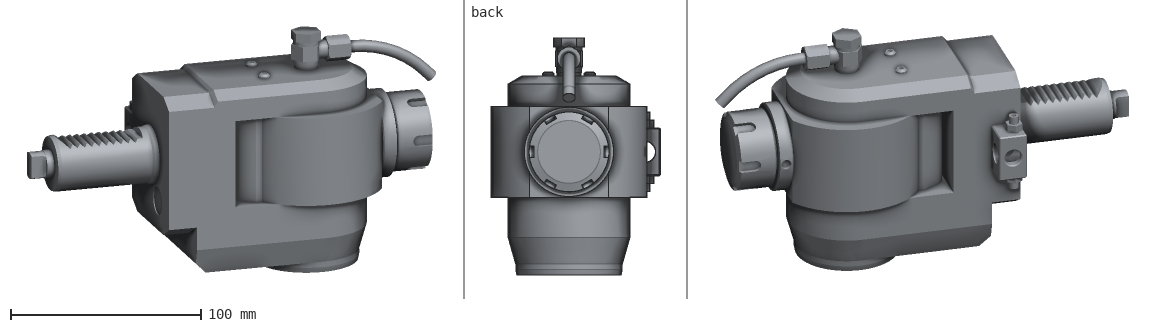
import cadquery as cq
import math


body_half_width = 32.0
head_axis_y = 86.0
body_top_z = 40.0
body_floor_z = -59.0
edge_bevel_angle = 30.0
bevel_slope = math.tan(math.radians(edge_bevel_angle))

step_half_height = 38.0
step_bevel_width = 9.5
top_step_y = 25.0
bottom_step_y = 15.5
top_bevel_width = 7.5

taper_start_z = -45.0
taper_inset = 4.0
heel_chamfer = 6.0

window_half_height = 24.0
window_back_y = 36.6
disc_radius = 41.0
disc_front_y = 121.4

bottom_cap_z = -64.9
fitting_top_z = 60.0
hose_tip_y = 157.67

far = 200.0
hexagon_ratio = math.cos(math.radians(30))


def cylinder_y(radius, y_start, y_end, x=0.0, z=0.0):
    """Cylinder along Y between two Y positions."""
    plane = cq.Workplane("XZ", origin=(x, y_start, z))
    return plane.circle(radius).extrude(y_start - y_end)


def cylinder_z(radius, z_start, z_end, x=0.0, y=0.0):
    """Cylinder along Z between two heights."""
    plane = cq.Workplane("XY", origin=(x, y, z_start))
    return plane.circle(radius).extrude(z_end - z_start)


def hexagon_z(across_flats, z_start, z_end, x=0.0, y=0.0, turn=0.0):
    """Hexagonal prism along Z, with corners on the X axis before turning."""
    corner_diameter = across_flats / hexagon_ratio
    plane = cq.Workplane("XY", origin=(x, y, z_start)).transformed(rotate=(0, 0, turn))
    return plane.polygon(6, corner_diameter).extrude(z_end - z_start)


def box_between(x_range, y_range, z_range):
    """Box given by its limits along each axis."""
    size = [limits[1] - limits[0] for limits in (x_range, y_range, z_range)]
    corner = (x_range[0], y_range[0], z_range[0])
    return cq.Workplane("XY").box(*size, centered=False).translate(corner)


def revolve_y(profile):
    """Solid turned about the Y axis from (radius, y) points, closed along the axis."""
    on_axis = [(0, profile[0][1])] + profile + [(0, profile[-1][1])]
    return cq.Workplane("XY").polyline(on_axis).close().revolve(360, (0, 0, 0), (0, 1, 0))


def head_outline(inset, back_y, z):
    """Plan outline with a half-round front, moved inwards by inset."""
    half = body_half_width - inset
    return (
        cq.Workplane("XY", origin=(0, 0, z))
        .moveTo(-half, back_y)
        .lineTo(-half, head_axis_y)
        .threePointArc((0, head_axis_y + half), (half, head_axis_y))
        .lineTo(half, back_y)
        .close()
    )


def tapered_head(z_start, z_end, inset):
    """Head stretch that narrows evenly by inset from z_start to z_end."""
    height = abs(z_end - z_start)
    draft = math.degrees(math.atan(inset / height))
    tall = head_outline(0, -2 * inset, z_start).extrude(z_end - z_start, taper=draft)
    behind = box_between((-far, far), (-far, 0), (-far, far))
    return tall.cut(behind)


def make_housing():
    bevel_z = body_top_z - top_bevel_width * bevel_slope
    housing = head_outline(0, 0, taper_start_z).extrude(bevel_z - taper_start_z)
    housing = housing.union(tapered_head(bevel_z, body_top_z, top_bevel_width))
    housing = housing.union(tapered_head(taper_start_z, body_floor_z, taper_inset))

    ramp = body_top_z - step_half_height
    front_y = head_axis_y + body_half_width
    silhouette = (
        cq.Workplane("YZ", origin=(-body_half_width, 0, 0))
        .polyline([
            (0, -step_half_height),
            (0, step_half_height),
            (top_step_y, step_half_height),
            (top_step_y + ramp, body_top_z),
            (front_y, body_top_z),
            (front_y, body_floor_z),
            (bottom_step_y + heel_chamfer, body_floor_z),
            (bottom_step_y, body_floor_z + heel_chamfer),
            (bottom_step_y, -step_half_height),
        ])
        .close()
        .extrude(2 * body_half_width)
    )
    housing = housing.intersect(silhouette)
    for cutter in make_step_bevels():
        housing = housing.cut(cutter)
    return housing


def bevel_corner(side, edge_z, width, y):
    """Triangle across a long body edge at position y, ready to extrude or loft."""
    edge_x = side * body_half_width
    drop = math.copysign(width * bevel_slope, edge_z)
    return (
        cq.Workplane("XZ", origin=(0, y, 0))
        .polyline([
            (edge_x, edge_z),
            (edge_x - side * width, edge_z),
            (edge_x, edge_z - drop),
        ])
        .close()
    )


def make_step_bevels():
    """Wedges that bevel the four long edges of the flange stretch."""
    ramp = body_top_z - step_half_height
    wedges = []
    for side in (-1, 1):
        upper = bevel_corner(side, step_half_height, step_bevel_width, 0)
        lower = bevel_corner(side, -step_half_height, step_bevel_width, 0)
        wedges.append(upper.extrude(-top_step_y))
        wedges.append(lower.extrude(-bottom_step_y))

        flange_end = bevel_corner(side, step_half_height, step_bevel_width, top_step_y)
        head_end = bevel_corner(side, body_top_z, top_bevel_width, top_step_y + ramp)
        sections = [flange_end.wires().val(), head_end.wires().val()]
        wedges.append(cq.Workplane(cq.Solid.makeLoft(sections, True)))
    return wedges


def cut_window(housing):
    """Slot through the full width in which the disc sits."""
    window = box_between(
        (-body_half_width, body_half_width),
        (window_back_y, head_axis_y),
        (-window_half_height, window_half_height),
    )
    return housing.cut(window)


def make_disc():
    """Large disc, flat at the front, with a tapered rounded tail at the back."""
    tail_start_y = 53.6
    tail_taper_y = 50.2
    tail_round_y = 42.1
    tail_end_y = 37.8
    tail_angle = math.radians(30)
    round_radius = (tail_round_y - tail_end_y) / (1 - math.sin(tail_angle))
    tail_half = math.sqrt(disc_radius**2 - (head_axis_y - tail_start_y) ** 2)
    round_x = tail_half - (tail_taper_y - tail_round_y) * math.tan(tail_angle)
    end_x = round_x - round_radius * math.cos(tail_angle)
    mid_angle = (math.radians(90) - tail_angle) / 2
    mid_x = end_x + round_radius * math.sin(mid_angle)
    mid_y = tail_end_y + round_radius * (1 - math.cos(mid_angle))

    height = 2 * window_half_height
    disc = cylinder_z(disc_radius, -window_half_height, window_half_height, y=head_axis_y)
    keep = box_between((-far, far), (tail_start_y, disc_front_y), (-far, far))
    tail = (
        cq.Workplane("XY", origin=(0, 0, -window_half_height))
        .moveTo(-tail_half, head_axis_y)
        .lineTo(-tail_half, tail_taper_y)
        .lineTo(-round_x, tail_round_y)
        .threePointArc((-mid_x, mid_y), (-end_x, tail_end_y))
        .lineTo(end_x, tail_end_y)
        .threePointArc((mid_x, mid_y), (round_x, tail_round_y))
        .lineTo(tail_half, tail_taper_y)
        .lineTo(tail_half, head_axis_y)
        .close()
        .extrude(height)
    )
    return disc.intersect(keep).union(tail)


def make_bottom_cap():
    rim_z = -62.0
    radius = 28.0
    inset = 0.6
    cap = cylinder_z(radius, body_floor_z, rim_z, y=head_axis_y)
    lip = (
        cq.Workplane("XY", origin=(0, head_axis_y, bottom_cap_z))
        .circle(radius - inset)
        .workplane(offset=rim_z - bottom_cap_z)
        .circle(radius)
        .loft()
    )
    return cap.union(lip)


shank_radius = 15.0
shank_end_y = -55.5


def make_shank():
    collar_radius = 16.0
    collar_cone_y = -2.3
    collar_cone_radius = 15.5
    collar_end_y = -3.3
    end_chamfer_y = -53.6
    end_radius = 14.5
    shank = revolve_y([
        (collar_radius, 0),
        (collar_cone_radius, collar_cone_y),
        (shank_radius, collar_end_y),
        (shank_radius, end_chamfer_y),
        (end_radius, shank_end_y),
    ])
    return shank.cut(make_rack_cutter()).union(make_drive_tang())


def make_rack_cutter():
    """Cutter for the toothed flat on top of the shank."""
    flat_z = 12.0
    root_z = 10.4
    entry_y = -6.4
    flat_start_y = -7.2
    first_root_y = -11.7
    runout_y = -53.2
    pitch = 4.0
    groove_count = 10
    half_groove = flat_z - root_z

    points = [(entry_y, shank_radius), (flat_start_y, flat_z)]
    for index in range(groove_count):
        root_y = first_root_y - index * pitch
        points.append((root_y + half_groove, flat_z))
        points.append((root_y, root_z))
        points.append((root_y - half_groove, flat_z))
    points.append((runout_y, shank_radius))
    plane = cq.Workplane("YZ", origin=(-shank_radius, 0, 0))
    return plane.polyline(points).close().extrude(2 * shank_radius)


def make_drive_tang():
    neck_radius = 7.5
    neck_end_y = -59.3
    tang_radius = 7.2
    tang_half_width = 4.1
    tang_end_y = -67.0
    neck = cylinder_y(neck_radius, shank_end_y, neck_end_y)
    tang = cylinder_y(tang_radius, neck_end_y, tang_end_y)
    root_half_width = 4.9
    flat_start_y = -60.8
    flats = (
        cq.Workplane("XY", origin=(0, 0, -tang_radius))
        .polyline([
            (-root_half_width, neck_end_y),
            (-tang_half_width, flat_start_y),
            (-tang_half_width, tang_end_y),
            (tang_half_width, tang_end_y),
            (tang_half_width, flat_start_y),
            (root_half_width, neck_end_y),
        ])
        .close()
        .extrude(2 * tang_radius)
    )
    return neck.union(tang.intersect(flats))


def make_locating_recess():
    """Shallow round recess in the seating face, below the shank."""
    radius = 7.6
    depth = 0.5
    center_x = 12.5
    center_z = -22.0
    return cylinder_y(radius, 0, depth, center_x, center_z)


def make_collar():
    radius = 23.5
    end_y = 128.8
    back_chamfer = 0.7
    hole_radius = 2.7
    hole_depth = 3.5
    point_depth = 1.6
    hole_y = 125.5
    collar = cylinder_y(radius, disc_front_y, end_y).faces("<Y").chamfer(back_chamfer)
    hole = (
        cq.Workplane("YZ", origin=(-radius, hole_y, 0))
        .circle(hole_radius)
        .extrude(hole_depth)
    )
    point = cq.Solid.makeCone(
        hole_radius, 0, point_depth,
        pnt=cq.Vector(hole_depth - radius, hole_y, 0),
        dir=cq.Vector(1, 0, 0),
    )
    return collar.cut(hole).cut(cq.Workplane(point))


def make_collet_nut():
    groove_radius = 17.8
    groove_start_y = 128.5
    radius = 21.0
    back_y = 130.1
    shoulder_y = 149.3
    front_y = 150.6
    front_radius = 16.5
    back_chamfer = 0.6
    nut = revolve_y([
        (groove_radius, groove_start_y),
        (groove_radius, back_y),
        (radius - back_chamfer, back_y),
        (radius, back_y + back_chamfer),
        (radius, shoulder_y),
        (front_radius, front_y),
    ])

    slot_count = 6
    slot_half_width = 3.0
    slot_floor_radius = 18.5
    slot_end_y = 138.6
    slot = (
        cq.Workplane("YZ", origin=(-radius, 0, 0))
        .moveTo(front_y, -slot_half_width)
        .lineTo(slot_end_y + slot_half_width, -slot_half_width)
        .threePointArc((slot_end_y, 0), (slot_end_y + slot_half_width, slot_half_width))
        .lineTo(front_y, slot_half_width)
        .close()
        .extrude(radius - slot_floor_radius)
    )
    for index in range(slot_count):
        nut = nut.cut(slot.rotate((0, 0, 0), (0, 1, 0), index * 360 / slot_count))
    return nut


hose_z = 49.0


def make_banjo_fitting():
    across_flats = 14.0
    base_radius = 6.7
    washer_radius = 6.4
    washer_top_z = 41.7
    swivel_across_flats = 14.3
    ring_radius = 6.9
    hexagon_start_z = 44.9
    hexagon_end_z = 53.0
    head_start_z = 55.2
    washer = cylinder_z(washer_radius, body_top_z, washer_top_z, y=head_axis_y)
    base = cylinder_z(base_radius, washer_top_z, hexagon_start_z, y=head_axis_y)
    swivel = hexagon_z(swivel_across_flats, hexagon_start_z, hexagon_end_z, y=head_axis_y, turn=30)
    ring = cylinder_z(ring_radius, hexagon_end_z, head_start_z, y=head_axis_y)
    head = hexagon_z(across_flats, head_start_z, fitting_top_z, y=head_axis_y)
    return washer.union(base).union(swivel).union(ring).union(head)


def make_hose_nut():
    neck_radius = 5.0
    start_y = 96.7
    end_y = 109.2
    across_flats = 12.2
    corner_radius = across_flats / 2 / hexagon_ratio
    edge_chamfer = 0.8
    neck = cylinder_y(neck_radius, head_axis_y, start_y, z=hose_z)
    nut = (
        cq.Workplane("XZ", origin=(0, start_y, hose_z))
        .transformed(rotate=(0, 0, 30))
        .polygon(6, 2 * corner_radius)
        .extrude(start_y - end_y)
    )
    rounding = cylinder_y(corner_radius, start_y, end_y, z=hose_z).edges().chamfer(edge_chamfer)
    return neck.union(nut.intersect(rounding))


def make_hose():
    """Coolant hose: straight, then an arc down to 45 degrees, then a straight tip."""
    radius = 3.25
    nut_end_y = 109.2
    bend_start_y = 111.3
    tip_length = 5.5
    bend_angle = math.radians(45)
    diagonal = math.sin(bend_angle)
    tip_y = hose_tip_y - radius * diagonal
    bend_end_y = tip_y - tip_length * diagonal
    bend_radius = (bend_end_y - bend_start_y) / diagonal
    bend_end_z = hose_z - bend_radius * (1 - diagonal)
    middle = bend_angle / 2
    bend_middle = (
        bend_start_y + bend_radius * math.sin(middle),
        hose_z - bend_radius * (1 - math.cos(middle)),
    )
    path = (
        cq.Workplane("YZ")
        .moveTo(nut_end_y, hose_z)
        .lineTo(bend_start_y, hose_z)
        .threePointArc(bend_middle, (bend_end_y, bend_end_z))
        .lineTo(tip_y, bend_end_z - tip_length * diagonal)
    )
    return cq.Workplane("XZ", origin=(0, nut_end_y, hose_z)).circle(radius).sweep(path)


def make_top_screws():
    radius = 3.1
    height = 2.0
    edge_chamfer = 1.0
    socket_across_flats = 2.6
    socket_depth = 1.2
    spacing = 21.8
    row_y = 59.3
    top_z = body_top_z + height
    screws = []
    for x in (-spacing / 2, spacing / 2):
        screw = cylinder_z(radius, body_top_z, top_z, x, row_y).faces(">Z").chamfer(edge_chamfer)
        socket = hexagon_z(socket_across_flats, top_z - socket_depth, top_z, x, row_y)
        screws.append(screw.cut(socket))
    return screws


def make_coolant_block():
    outer_x = -48.0
    y_range = (0.9, 15.9)
    half_height = 12.6
    bore_x = -40.0
    bore_radius = 5.5
    port_y = 8.4
    port_radius = 4.4
    port_mouth_radius = 5.0
    port_end_x = -34.0
    passage_radius = 1.6
    edge_chamfer = 0.6
    block = box_between((outer_x, -body_half_width), y_range, (-half_height, half_height))
    block = block.edges("|X or <X").chamfer(edge_chamfer)
    block = block.cut(cylinder_y(bore_radius, y_range[0], y_range[1], x=bore_x))

    mouth_depth = port_mouth_radius - port_radius
    port_plane = cq.Workplane("YZ", origin=(outer_x, port_y, 0))
    mouth = cq.Solid.makeCone(
        port_mouth_radius, port_radius, mouth_depth,
        pnt=cq.Vector(outer_x, port_y, 0),
        dir=cq.Vector(1, 0, 0),
    )
    block = block.cut(cq.Workplane(mouth))
    block = block.cut(port_plane.circle(port_radius).extrude(port_end_x - outer_x))
    block = block.cut(port_plane.circle(passage_radius).extrude(-body_half_width - outer_x))

    stud_y = 5.9
    stud_radius = 2.6
    stud_end_z = 20.9
    nut_across_flats = 8.0
    nut_end_z = 16.7
    socket_across_flats = 2.5
    socket_depth = 2.0
    for side in (-1, 1):
        start_z = side * half_height
        end_z = side * stud_end_z
        nut = hexagon_z(nut_across_flats, start_z, side * nut_end_z, bore_x, stud_y)
        stud = cylinder_z(stud_radius, start_z, end_z, bore_x, stud_y)
        socket = hexagon_z(socket_across_flats, end_z - side * socket_depth, end_z, bore_x, stud_y)
        block = block.union(nut).union(stud.cut(socket))
    return block


part = cut_window(make_housing())
part = part.cut(make_locating_recess())
components = [
    make_disc(),
    make_bottom_cap(),
    make_shank(),
    make_collar(),
    make_collet_nut(),
    make_banjo_fitting(),
    make_hose_nut(),
    make_hose(),
    make_coolant_block(),
    *make_top_screws(),
]
for component in components:
    part = part.union(component)

result = part